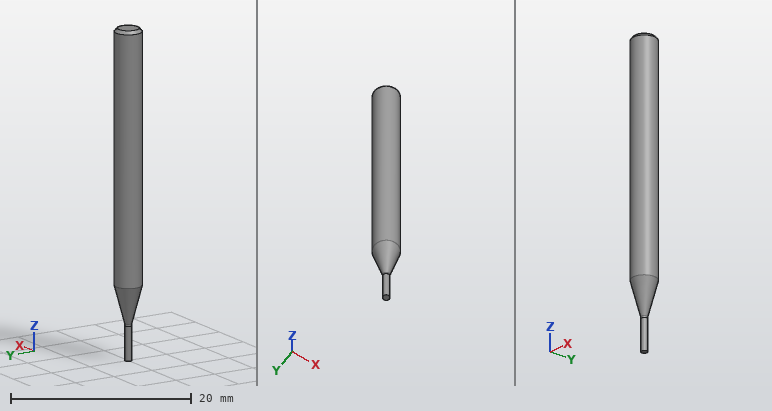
import cadquery as cq

total_length = 38.1
shank_diameter = 3.15
tip_diameter = 0.8

cutter_length = 4.0
neck_length = 0.23
taper_top = 8.65

bevel_height = 0.4
bevel_width = 0.35

shank_radius = shank_diameter / 2
tip_radius = tip_diameter / 2
taper_bottom = cutter_length + neck_length


def make_shank():
    """Bevelled round shank that tapers down to a short straight neck."""
    half_profile = (
        cq.Workplane("XZ")
        .moveTo(0, cutter_length)
        .lineTo(tip_radius, cutter_length)
        .lineTo(tip_radius, taper_bottom)
        .lineTo(shank_radius, taper_top)
        .lineTo(shank_radius, total_length - bevel_height)
        .lineTo(shank_radius - bevel_width, total_length)
        .lineTo(0, total_length)
        .close()
    )
    return half_profile.revolve(360, (0, 0, 0), (0, 1, 0))


def make_cutter():
    """Plain cylindrical cutter that butts against the neck of the shank."""
    return cq.Workplane("XY").circle(tip_radius).extrude(cutter_length)


shank = make_shank()
cutter = make_cutter()

result = cq.Compound.makeCompound([shank.val(), cutter.val()])